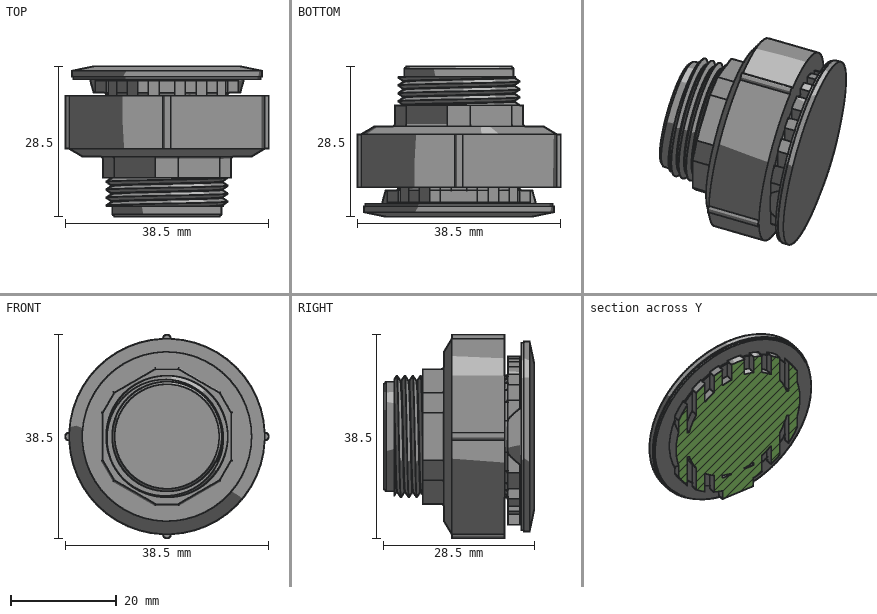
import cadquery as cq
import math


CAP_BEVEL_END = 0.9
CAP_STEP = 2.0
CAP_BACK = 2.5
COMB_START = 2.75
COMB_END = 5.0
NUT_START = 5.6
NUT_CHAMFER_START = 15.6
NUT_END = 17.1
HEX_END = 21.1
THREAD_END = 26.5
TOTAL_LENGTH = 28.5

CAP_FACE_DIAMETER = 27.5
CAP_DIAMETER = 36.0
CAP_STEP_DIAMETER = 35.5

COMB_BODY_DIAMETER = 29.0
COMB_BODY_END_DIAMETER = 27.75
COMB_TOOTH_DIAMETER = 30.25
KEY_REACH = 16.7
CENTRE_TOOTH_WIDTH = 3.0
SLOT_WIDTH = 2.0
TOOTH_WIDTH = 2.0
SLOTS_PER_SIDE = 3
SLOT_FLOOR_HEIGHT = 3.0
CORE_DIAMETER = 23.0
CORE_FLARE = 0.5

NUT_DIAMETER = 37.0
NUT_FRONT_DIAMETER = 32.0
RIB_RADIUS = 0.75
RIB_COUNT = 4

HEX_ACROSS_FLATS = 24.25
HEX_ACROSS_CORNER_CUTS = 25.5
HEX_TURN = 30
HEX_FILLET = 0.5

THREAD_DIAMETER = 23.0
THREAD_ROOT_DIAMETER = 21.1
THREAD_PITCH = 1.5
THREAD_CREST_STATION = 21.1
THREAD_CREST_WIDTH = 0.06
THREAD_ROOT_WIDTH = 1.35
THREAD_ROOT_OVERLAP = 0.2
TIP_DIAMETER = 20.75
TIP_CHAMFER = 0.5


def cylinder(diameter, start, end):
    """Solid disc on the axis between two stations."""
    return cq.Workplane("XY").workplane(offset=start).circle(diameter / 2).extrude(end - start)


def cone(start_diameter, end_diameter, start, end):
    """Truncated cone on the axis between two stations."""
    return (
        cq.Workplane("XZ")
        .moveTo(0, start)
        .lineTo(start_diameter / 2, start)
        .lineTo(end_diameter / 2, end)
        .lineTo(0, end)
        .close()
        .revolve(360, (0, 0, 0), (0, 1, 0))
    )


def block(x_min, x_max, y_min, y_max, start, end):
    """Rectangular block between two stations."""
    return (
        cq.Workplane("XY")
        .workplane(offset=start)
        .center((x_min + x_max) / 2, (y_min + y_max) / 2)
        .rect(x_max - x_min, y_max - y_min)
        .extrude(end - start)
    )


def make_cap():
    """Bevelled cap with a stepped back and a short neck behind it."""
    bevel = cone(CAP_FACE_DIAMETER, CAP_DIAMETER, 0, CAP_BEVEL_END)
    rim = cylinder(CAP_DIAMETER, CAP_BEVEL_END, CAP_STEP)
    back = cylinder(CAP_STEP_DIAMETER, CAP_STEP, CAP_BACK)
    neck = cylinder(COMB_BODY_DIAMETER, CAP_BACK, COMB_START)
    return bevel.union(rim).union(back).union(neck)


def make_core():
    """Core under the comb, flaring out in a concave fillet below the teeth."""
    core_radius = CORE_DIAMETER / 2
    flare_end = COMB_END + CORE_FLARE
    arc_offset = CORE_FLARE * (1 - math.sqrt(0.5))
    flare = (
        cq.Workplane("XZ")
        .moveTo(0, COMB_END)
        .lineTo(core_radius + CORE_FLARE, COMB_END)
        .threePointArc((core_radius + arc_offset, COMB_END + arc_offset), (core_radius, flare_end))
        .lineTo(0, flare_end)
        .close()
        .revolve(360, (0, 0, 0), (0, 1, 0))
    )
    return flare.union(cylinder(CORE_DIAMETER, COMB_END, NUT_START))


def make_comb():
    """Ring split into parallel teeth, with a wide flat-ended key at the bottom."""
    tooth_span = CENTRE_TOOTH_WIDTH / 2 + SLOTS_PER_SIDE * (SLOT_WIDTH + TOOTH_WIDTH)
    reach = COMB_TOOTH_DIAMETER / 2
    teeth = cylinder(COMB_TOOTH_DIAMETER, COMB_START, COMB_END).intersect(
        block(-tooth_span, tooth_span, -reach, reach, COMB_START, COMB_END)
    )
    body = cone(COMB_BODY_DIAMETER, COMB_BODY_END_DIAMETER, COMB_START, COMB_END)
    comb = body.union(teeth).union(make_core())

    slots = cq.Workplane("XY")
    for index in range(SLOTS_PER_SIDE):
        inner = CENTRE_TOOTH_WIDTH / 2 + index * (SLOT_WIDTH + TOOTH_WIDTH)
        outer = inner + SLOT_WIDTH
        for x_min, x_max in ((inner, outer), (-outer, -inner)):
            for y_min, y_max in ((SLOT_FLOOR_HEIGHT, reach), (-reach, -SLOT_FLOOR_HEIGHT)):
                slots = slots.union(block(x_min, x_max, y_min, y_max, COMB_START, NUT_START))
    slots = slots.cut(cylinder(CORE_DIAMETER, COMB_START, NUT_START))

    key_half_width = CENTRE_TOOTH_WIDTH / 2 + SLOT_WIDTH
    key_root = -CORE_DIAMETER / 2
    key = block(-key_half_width, key_half_width, -KEY_REACH, key_root, COMB_START, COMB_END)
    return comb.cut(slots).union(key)


def make_nut():
    """Chamfered nut with round grip ribs along its side."""
    nut = cylinder(NUT_DIAMETER, NUT_START, NUT_CHAMFER_START)
    nut = nut.union(cone(NUT_DIAMETER, NUT_FRONT_DIAMETER, NUT_CHAMFER_START, NUT_END))
    ribs = (
        cq.Workplane("XY")
        .workplane(offset=NUT_START)
        .polarArray(NUT_DIAMETER / 2, 0, 360, RIB_COUNT)
        .circle(RIB_RADIUS)
        .extrude(NUT_CHAMFER_START - NUT_START)
    )
    return nut.union(ribs)


def hexagon(across_flats, turn):
    """Hexagonal prism of the collar, turned about the axis by an angle in degrees."""
    return (
        cq.Workplane("XY")
        .workplane(offset=NUT_END)
        .polygon(6, across_flats, circumscribed=True)
        .extrude(HEX_END - NUT_END)
        .rotate((0, 0, 0), (0, 0, 1), turn)
    )


def make_nut_with_collar():
    """Nut and twelve-sided collar, with a fillet where they meet."""
    collar = hexagon(HEX_ACROSS_FLATS, 0).intersect(hexagon(HEX_ACROSS_CORNER_CUTS, HEX_TURN))
    joined = make_nut().union(collar)
    reach = NUT_FRONT_DIAMETER / 2
    root_edges = cq.selectors.BoxSelector(
        (-reach, -reach, NUT_END - HEX_FILLET), (reach, reach, NUT_END + HEX_FILLET)
    )
    return joined.edges("%LINE").edges(root_edges).fillet(HEX_FILLET)


def make_thread():
    """Right-handed V thread, trimmed flat at the collar and at the plain end."""
    root_radius = THREAD_ROOT_DIAMETER / 2
    inner_radius = root_radius - THREAD_ROOT_OVERLAP
    crest_radius = THREAD_DIAMETER / 2
    first_crest = THREAD_CREST_STATION - THREAD_PITCH
    turns = math.ceil((THREAD_END - first_crest) / THREAD_PITCH) + 1
    path = cq.Wire.makeHelix(THREAD_PITCH, turns * THREAD_PITCH, root_radius, cq.Vector(0, 0, first_crest))
    ridge = (
        cq.Workplane("XZ")
        .moveTo(inner_radius, first_crest - THREAD_ROOT_WIDTH / 2)
        .lineTo(root_radius, first_crest - THREAD_ROOT_WIDTH / 2)
        .lineTo(crest_radius, first_crest - THREAD_CREST_WIDTH / 2)
        .lineTo(crest_radius, first_crest + THREAD_CREST_WIDTH / 2)
        .lineTo(root_radius, first_crest + THREAD_ROOT_WIDTH / 2)
        .lineTo(inner_radius, first_crest + THREAD_ROOT_WIDTH / 2)
        .close()
        .sweep(cq.Workplane(path), isFrenet=True)
    )
    trimmed = ridge.intersect(cylinder(CAP_DIAMETER, HEX_END, THREAD_END))
    return cylinder(THREAD_ROOT_DIAMETER, HEX_END, THREAD_END).union(trimmed)


def make_tip():
    """Plain end with a chamfered rim."""
    return cylinder(TIP_DIAMETER, THREAD_END, TOTAL_LENGTH).faces(">Z").chamfer(TIP_CHAMFER)


assembled = make_cap().union(make_comb()).union(make_nut_with_collar())
assembled = assembled.union(make_thread()).union(make_tip())
result = assembled.rotate((0, 0, 0), (1, 0, 0), 90)